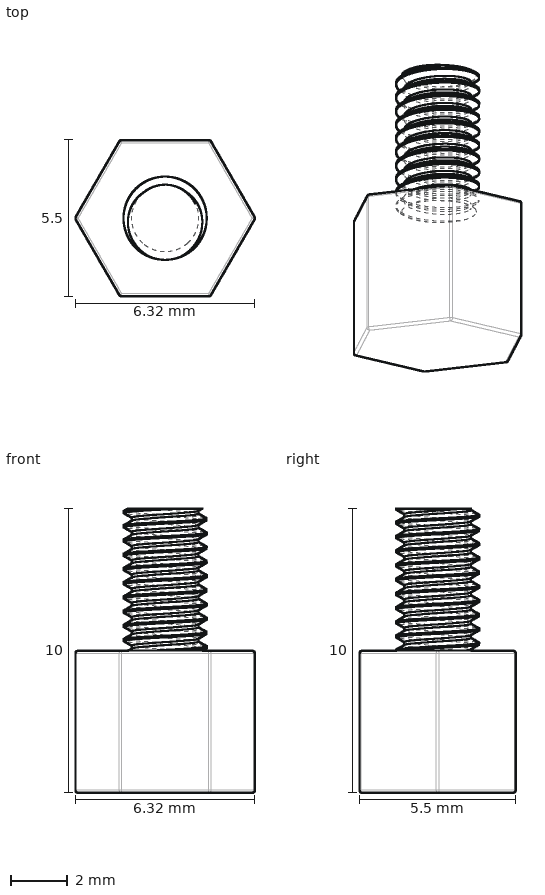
import cadquery as cq
import math

side_count = 6
across_flats = 5.5
body_height = 5.0
edge_radius = 0.1

stud_length = 5.0
thread_pitch = 0.5
crest_diameter = 2.93
root_diameter = 2.36
crest_width = thread_pitch / 8
flank_half_angle = 30.0
crest_direction = -90.0
ridge_burial = 0.06

crest_radius = crest_diameter / 2
root_radius = root_diameter / 2

ridge_overrun = thread_pitch
core_overrun = 2 * thread_pitch


def hex_body():
    """Hexagonal prism with corners on the X axis and every edge rounded."""
    across_corners = across_flats / math.cos(math.pi / side_count)
    prism = cq.Workplane("XY").polygon(side_count, across_corners).extrude(body_height)
    return prism.edges().fillet(edge_radius)


def thread_ridge():
    """Right-hand helical ridge, overrunning the stud at each end."""
    foot_radius = root_radius - ridge_burial
    flank_width = (crest_radius - foot_radius) * math.tan(math.radians(flank_half_angle))
    tip_half = crest_width / 2
    foot_half = tip_half + flank_width

    ridge_length = stud_length + 2 * ridge_overrun
    helix = cq.Wire.makeHelix(thread_pitch, ridge_length, root_radius)
    profile = cq.Workplane("XZ").polyline([
        (foot_radius, -foot_half),
        (crest_radius, -tip_half),
        (crest_radius, tip_half),
        (foot_radius, foot_half),
    ]).close()
    ridge = profile.sweep(cq.Workplane(obj=helix), isFrenet=True)
    ridge = ridge.rotate((0, 0, 0), (0, 0, 1), crest_direction)
    return ridge.translate((0, 0, -ridge_overrun))


def threaded_stud():
    """Core and ridge, trimmed flat at both ends and standing on the body."""
    core_length = stud_length + 2 * core_overrun
    core = cq.Workplane("XY").workplane(offset=-core_overrun).circle(root_radius).extrude(core_length)
    trim_side = 2 * crest_diameter
    trim = cq.Workplane("XY").rect(trim_side, trim_side).extrude(stud_length)
    stud = core.union(thread_ridge()).intersect(trim)
    return stud.translate((0, 0, body_height))


standoff = hex_body().union(threaded_stud())
result = standoff.solids()